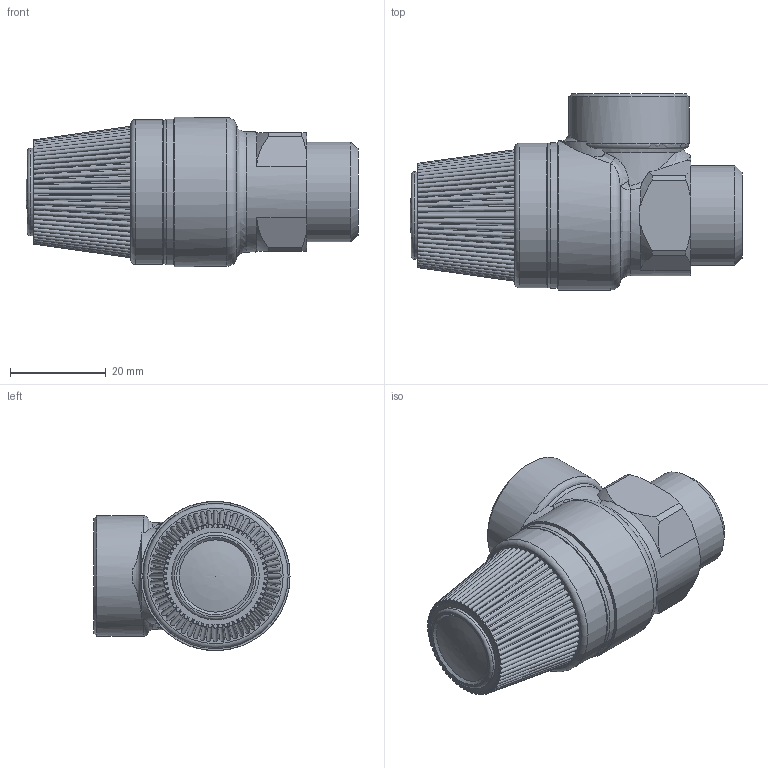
import cadquery as cq
import math


OUTLET_AXIS = 45.75
KNOB_START = 1.5
KNOB_END = 21.9
CAP_END = 28.55
COLLAR_END = 31.0
BODY_SHOULDER = 41.9
NECK_START = 46.0
NUT_START = 48.0
NUT_END = 58.65
LENGTH = 69.4

DOME_RADIUS = 7.55
DOME_EDGE = 0.8
RING_INNER_RADIUS = 8.1
RING_OUTER_RADIUS = 9.15
RING_CREST = 0.3
RING_ROUND = 0.6

RIB_COUNT = 60
KNOB_SMALL_RADIUS = 10.9
KNOB_LARGE_RADIUS = 13.75
RIB_DEPTH = 0.7
RIB_WIDTH_SHARE = 0.55

CAP_RADIUS = 15.15
CAP_ROUND = 1.0
SEAM_WIDTH = 0.25
SEAM_DEPTH = 0.3
COLLAR_RADIUS = 15.2
COLLAR_BEVEL_LENGTH = 0.55
COLLAR_BEVEL_DEPTH = 0.15
BODY_RADIUS = 15.6
NECK_RADIUS = 12.6
SHOULDER_SHARE = 0.5

NUT_HALF_HEIGHT = 12.42
NUT_CORNER_Y = 8.1
NUT_CORNER_CUT = 0.8
NUT_TIP_RADIUS = 14.9
NUT_FACE_RADIUS = 13.0
NUT_FACE_BEVEL = 1.3
NUT_BACK_BEVEL = 3.3

SPIGOT_RADIUS = 10.45
SPIGOT_END_RADIUS = 9.0
SPIGOT_BEVEL = 1.55

OUTLET_END = 25.4
OUTLET_RADIUS = 12.6
OUTLET_BEVEL = 0.6
OUTLET_SHOULDER = 15.05
OUTLET_ROUND = 1.15
OUTLET_NECK_TOP = 13.1
OUTLET_NECK_RADIUS = 11.2
OUTLET_BLEND = 2.1

WEB_RADIUS = 10.0
WEB_FOOT_STATION = 31.3
WEB_FLARE = 1.8
WEB_FLARE_BASE = 15.45


def at(station):
    """X coordinate of a station measured from the button tip."""
    return station - OUTLET_AXIS


def turned(profile):
    """Revolve a closed half-profile, drawn as (X, radius), around the body axis."""
    return profile.close().revolve(360, (0, 0, 0), (1, 0, 0))


def half_profile(station):
    return cq.Workplane("XY").moveTo(at(station), 0)


def make_button():
    dome_mid_radius = DOME_RADIUS / 2
    dome_mid = DOME_EDGE * (dome_mid_radius / DOME_RADIUS) ** 2
    profile = (
        half_profile(0)
        .threePointArc((at(dome_mid), dome_mid_radius), (at(DOME_EDGE), DOME_RADIUS))
        .lineTo(at(RING_CREST), RING_INNER_RADIUS)
        .lineTo(at(RING_CREST), RING_OUTER_RADIUS - RING_ROUND)
        .tangentArcPoint((at(RING_CREST + RING_ROUND), RING_OUTER_RADIUS), relative=False)
        .lineTo(at(KNOB_END), RING_OUTER_RADIUS)
        .lineTo(at(KNOB_END), 0)
    )
    return turned(profile)


def ribbed_outline(plane, tip_radius):
    """Closed outline of round ribs separated by flat roots."""
    root_radius = tip_radius - RIB_DEPTH
    pitch = 2 * math.pi / RIB_COUNT

    def polar(radius, angle):
        return (radius * math.cos(angle), radius * math.sin(angle))

    half_rib = RIB_WIDTH_SHARE * pitch / 2
    outline = plane.moveTo(*polar(root_radius, -half_rib))
    for i in range(RIB_COUNT):
        middle = i * pitch
        outline = outline.threePointArc(polar(tip_radius, middle), polar(root_radius, middle + half_rib))
        if i < RIB_COUNT - 1:
            outline = outline.lineTo(*polar(root_radius, middle + pitch - half_rib))
    return outline.close()


def make_knob():
    small_end = ribbed_outline(cq.Workplane("YZ", origin=(at(KNOB_START), 0, 0)), KNOB_SMALL_RADIUS)
    large_end = small_end.workplane(offset=KNOB_END - KNOB_START)
    return ribbed_outline(large_end, KNOB_LARGE_RADIUS).loft(ruled=True)


def make_cap():
    seam_radius = CAP_RADIUS - SEAM_DEPTH
    profile = (
        half_profile(KNOB_END)
        .lineTo(at(KNOB_END), CAP_RADIUS - CAP_ROUND)
        .radiusArc((at(KNOB_END + CAP_ROUND), CAP_RADIUS), CAP_ROUND)
        .lineTo(at(CAP_END), CAP_RADIUS)
        .lineTo(at(CAP_END), seam_radius)
        .lineTo(at(CAP_END + SEAM_WIDTH), seam_radius)
        .lineTo(at(CAP_END + SEAM_WIDTH), COLLAR_RADIUS - COLLAR_BEVEL_DEPTH)
        .lineTo(at(CAP_END + SEAM_WIDTH + COLLAR_BEVEL_LENGTH), COLLAR_RADIUS)
        .lineTo(at(COLLAR_END - SEAM_WIDTH), COLLAR_RADIUS)
        .lineTo(at(COLLAR_END - SEAM_WIDTH), seam_radius)
        .lineTo(at(COLLAR_END), seam_radius)
        .lineTo(at(COLLAR_END), 0)
    )
    return turned(profile)


def make_body():
    """Body and neck; the neck runs on past the nut so that the outlet blend has room to form."""
    bend_station = BODY_SHOULDER + SHOULDER_SHARE * (NECK_START - BODY_SHOULDER)
    bend_radius = BODY_RADIUS + SHOULDER_SHARE * (NECK_RADIUS - BODY_RADIUS)
    profile = (
        half_profile(COLLAR_END)
        .lineTo(at(COLLAR_END), BODY_RADIUS)
        .lineTo(at(BODY_SHOULDER), BODY_RADIUS)
        .tangentArcPoint((at(bend_station), bend_radius), relative=False)
        .tangentArcPoint((at(NECK_START), NECK_RADIUS), relative=False)
        .lineTo(at(LENGTH), NECK_RADIUS)
        .lineTo(at(LENGTH), 0)
    )
    return turned(profile).rotate((0, 0, 0), (1, 0, 0), 180)


def make_housing():
    """Body with the outlet neck growing out of it through a rounded inside corner."""
    neck = cq.Workplane("XZ").circle(OUTLET_NECK_RADIUS).extrude(-OUTLET_SHOULDER - OUTLET_BLEND)
    corner_zone = cq.selectors.BoxSelector(
        (-OUTLET_RADIUS, OUTLET_BLEND / 2, -OUTLET_RADIUS),
        (OUTLET_RADIUS, OUTLET_SHOULDER + OUTLET_BLEND / 2, OUTLET_RADIUS),
    )
    blended = make_body().union(neck).edges(corner_zone).fillet(OUTLET_BLEND)
    return blended.intersect(make_trim())


def make_trim():
    """Block that ends the neck cylinder and the outlet blend level with the inlet face of the nut."""
    size = 2 * LENGTH
    return cq.Workplane("YZ", origin=(at(NUT_END), 0, 0)).rect(size, size).extrude(-size)


def make_outlet():
    profile = (
        cq.Workplane("XY")
        .moveTo(0, OUTLET_NECK_TOP)
        .lineTo(OUTLET_NECK_RADIUS, OUTLET_NECK_TOP)
        .lineTo(OUTLET_RADIUS - OUTLET_ROUND, OUTLET_SHOULDER - OUTLET_ROUND)
        .radiusArc((OUTLET_RADIUS, OUTLET_SHOULDER), -OUTLET_ROUND)
        .lineTo(OUTLET_RADIUS, OUTLET_END - OUTLET_BEVEL)
        .lineTo(OUTLET_RADIUS - OUTLET_BEVEL, OUTLET_END)
        .lineTo(0, OUTLET_END)
    )
    return profile.close().revolve(360, (0, 0, 0), (0, 1, 0))


def make_web():
    """Crescent against the outlet wall, flaring down onto the crown of the body."""
    axis_x = at(WEB_FOOT_STATION) + WEB_RADIUS
    waist_radius = WEB_RADIUS - WEB_FLARE
    profile = (
        cq.Workplane("XY")
        .lineTo(WEB_RADIUS, 0)
        .lineTo(WEB_RADIUS, WEB_FLARE_BASE)
        .radiusArc((waist_radius, WEB_FLARE_BASE + WEB_FLARE), WEB_FLARE)
        .lineTo(0, WEB_FLARE_BASE + WEB_FLARE)
    )
    return profile.close().revolve(360, (0, 0, 0), (0, 1, 0)).translate((axis_x, 0, 0))


def make_nut():
    corner_distance = math.hypot(NUT_CORNER_Y, NUT_HALF_HEIGHT)
    normal_angle = math.atan2(NUT_HALF_HEIGHT, NUT_CORNER_Y) - math.acos(NECK_RADIUS / corner_distance)
    touch_y = NECK_RADIUS * math.cos(normal_angle)
    touch_z = NECK_RADIUS * math.sin(normal_angle)
    length = NUT_END - NUT_START
    section = (
        cq.Workplane("YZ", origin=(at(NUT_START), 0, 0))
        .moveTo(touch_y, touch_z)
        .lineTo(NUT_CORNER_Y, NUT_HALF_HEIGHT)
        .lineTo(-NUT_CORNER_Y, NUT_HALF_HEIGHT)
        .lineTo(-touch_y, touch_z)
        .lineTo(-touch_y, -touch_z)
        .lineTo(-NUT_CORNER_Y, -NUT_HALF_HEIGHT)
        .lineTo(NUT_CORNER_Y, -NUT_HALF_HEIGHT)
        .lineTo(touch_y, -touch_z)
        .close()
    )
    flat_middle = (touch_z + NUT_HALF_HEIGHT) / 2
    upper_corners = cq.selectors.BoxSelector(
        (at(NUT_START), -touch_y, flat_middle), (at(NUT_END), touch_y, NUT_TIP_RADIUS)
    )
    lower_corners = cq.selectors.BoxSelector(
        (at(NUT_START), -touch_y, -NUT_TIP_RADIUS), (at(NUT_END), touch_y, -flat_middle)
    )
    corner_edges = upper_corners + lower_corners
    prism = section.extrude(length).edges("|X").edges(corner_edges).chamfer(NUT_CORNER_CUT)
    envelope = turned(
        half_profile(NUT_START)
        .lineTo(at(NUT_START), NUT_HALF_HEIGHT)
        .lineTo(at(NUT_START + NUT_BACK_BEVEL), NUT_TIP_RADIUS)
        .lineTo(at(NUT_END - NUT_FACE_BEVEL), NUT_TIP_RADIUS)
        .lineTo(at(NUT_END), NUT_FACE_RADIUS)
        .lineTo(at(NUT_END), 0)
    )
    return prism.intersect(envelope)


def make_flat_relief():
    """Material above and below the nut, removed so that its two flats run across the neck."""
    width = 2 * NUT_CORNER_Y
    above = cq.Workplane("XY", origin=(at(NUT_START), 0, NUT_HALF_HEIGHT))
    slab = above.box(NUT_END - NUT_START, width, width, centered=(False, True, False))
    return slab.union(slab.mirror("XY"))


def make_spigot():
    profile = (
        half_profile(NUT_START)
        .lineTo(at(NUT_START), SPIGOT_RADIUS)
        .lineTo(at(LENGTH - SPIGOT_BEVEL), SPIGOT_RADIUS)
        .lineTo(at(LENGTH), SPIGOT_END_RADIUS)
        .lineTo(at(LENGTH), 0)
    )
    return turned(profile)


housing = make_housing().cut(make_flat_relief())
result = housing.union(make_web()).union(make_outlet()).union(make_nut()).union(make_spigot())
result = result.union(make_cap()).union(make_knob()).union(make_button())